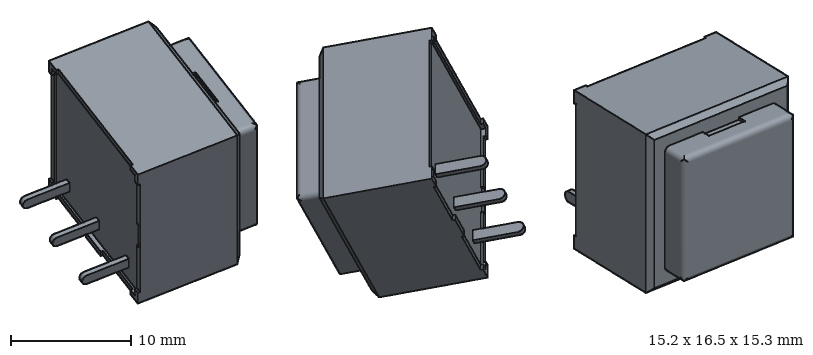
import cadquery as cq

overall_length = 16.48
housing_width = 15.25

button_width = 12.0
button_height = 2.49
button_round = 0.51
recess_width = 3.87
recess_height = 0.82
recess_depth = 0.25

housing_depth = 9.97
front_chamfer = 0.5
wall = 0.53
standoff_height = 0.21
corner_leg = 1.27
key_width = 2.54
notch_depth = 0.26
floor_depth = 0.21

pin_pitch = 5.08
pin_thickness = 0.5
pin_height = 1.02
pin_tip_length = 0.48
pin_drop = 5.08

standoff_y = -housing_depth
rim_y = standoff_y + standoff_height
floor_y = rim_y + floor_depth
pin_tip_y = button_height - overall_length
half_width = housing_width / 2


def box(x_size, z_size, y_start, y_end, x=0, z=0):
    """Block centred on (x, z), reaching from y_start to y_end."""
    return cq.Workplane("XY").box(x_size, y_end - y_start, z_size).translate((x, (y_start + y_end) / 2, z))


def make_housing():
    body = box(housing_width, housing_width, standoff_y, 0)
    body = body.faces(">Y").chamfer(front_chamfer)

    gap = housing_width - 2 * corner_leg
    cuts = box(housing_width, gap, standoff_y, rim_y)
    cuts = cuts.union(box(gap, housing_width, standoff_y, rim_y))
    middle_standoff = box(key_width, wall, standoff_y, rim_y, z=wall / 2 - half_width)
    body = body.cut(cuts.cut(middle_standoff))

    inner_width = housing_width - 2 * wall
    body = body.cut(box(inner_width, inner_width, standoff_y, floor_y))
    notch_x = (inner_width + notch_depth) / 2
    return body.cut(box(notch_depth, key_width, standoff_y, floor_y, x=notch_x))


def make_button():
    block = box(button_width, button_width, 0, button_height)
    body = block.edges("|Y").fillet(button_round)
    for front_edges in (">Y and |X", ">Y and |Z"):
        body = body.intersect(block.edges(front_edges).fillet(button_round))
    recess_z = (button_width - recess_depth) / 2
    return body.cut(box(recess_width, recess_depth, 0, recess_height, z=recess_z))


def make_pin(x):
    """Flat pin standing on the housing floor, with a tip rounded to an arc."""
    half_height = pin_height / 2
    round_y = pin_tip_y + pin_tip_length
    return (
        cq.Workplane("YZ")
        .moveTo(floor_y, half_height)
        .lineTo(round_y, half_height)
        .threePointArc((pin_tip_y, 0), (round_y, -half_height))
        .lineTo(floor_y, -half_height)
        .close()
        .extrude(pin_thickness / 2, both=True)
        .translate((x, 0, -pin_drop))
    )


housing = make_housing()
button = make_button()
pins = [make_pin(x) for x in (-pin_pitch, 0, pin_pitch)]

result = cq.Compound.makeCompound([housing.val(), button.val(), *[pin.val() for pin in pins]])